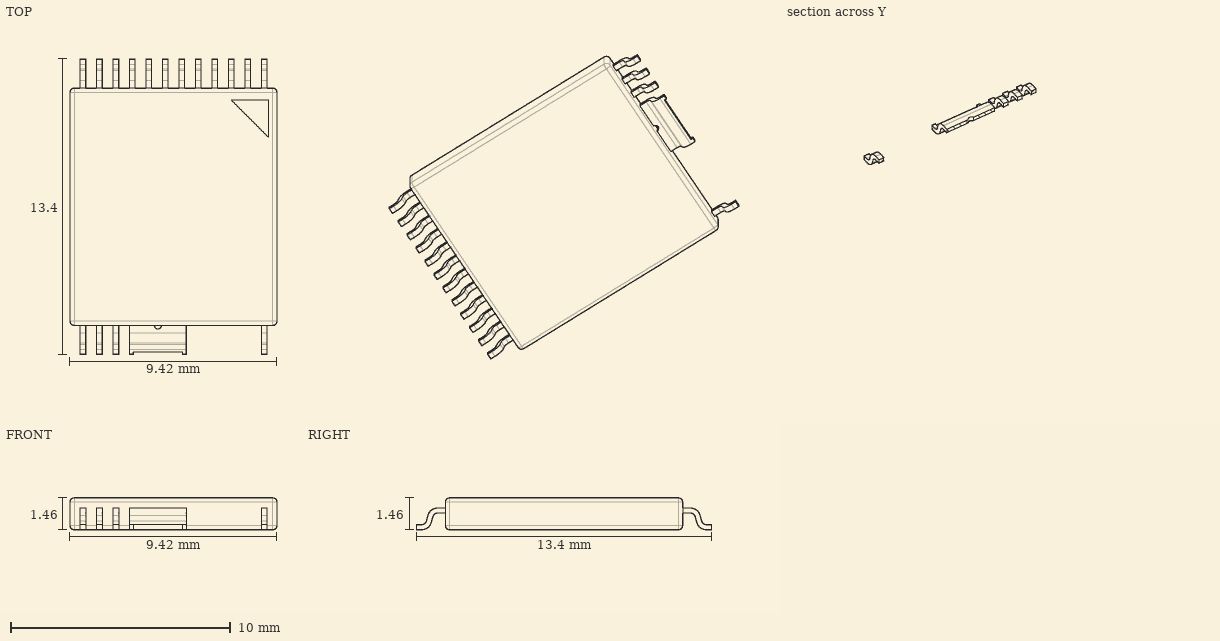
import cadquery as cq
import math

PACKAGE_WIDTH = 9.42
PACKAGE_LENGTH = 10.8
PACKAGE_HEIGHT = 1.46
EDGE_RADIUS = 0.2

MARK_LEG = 1.68
MARK_SIDE_MARGIN = 0.4
MARK_END_MARGIN = 0.55
MARK_DEPTH = 0.1

OVERALL_LENGTH = 13.42
LEAD_THICKNESS = 0.24
LEAD_TOP_Z = 1.0
BEND_RADIUS = 0.35
BEND_ANGLE = math.radians(75)
SHOULDER_LENGTH = 0.34

LEAD_WIDTH = 0.27
LEAD_PITCH = 0.75
LEAD_POSITIONS = 12
FRONT_LEAD_INDEXES = [0, 1, 2, 11]
TAB_START_INDEX = 3

TAB_WIDTH = 2.6
TAB_TOE_WIDTH = 0.19
TAB_TOE_LENGTH = 0.1
TAB_NOTCH_RADIUS = 0.15

LEAD_REACH = (OVERALL_LENGTH - PACKAGE_LENGTH) / 2
FACE_Y = PACKAGE_LENGTH / 2
FIRST_LEAD_X = -LEAD_PITCH * (LEAD_POSITIONS - 1) / 2


def lead_x(index):
    """X of the centre of a lead position."""
    return FIRST_LEAD_X + index * LEAD_PITCH


def front_lead_bar(x_start, width):
    """Gull-wing bar of the given width, running out from the -Y face of the package."""
    half = LEAD_THICKNESS / 2
    inner = BEND_RADIUS - half
    outer = BEND_RADIUS + half
    sin_bend = math.sin(BEND_ANGLE)
    cos_bend = math.cos(BEND_ANGLE)

    drop = LEAD_TOP_Z - LEAD_THICKNESS
    leg = (drop - 2 * BEND_RADIUS * (1 - cos_bend)) / sin_bend
    bends_reach = 2 * BEND_RADIUS * sin_bend + leg * cos_bend

    shoulder_y = -FACE_Y - SHOULDER_LENGTH
    shoulder_z = LEAD_TOP_Z - half - BEND_RADIUS
    foot_y = shoulder_y - bends_reach
    foot_z = half + BEND_RADIUS
    toe_y = -FACE_Y - LEAD_REACH

    def shoulder_point(radius, angle):
        return (shoulder_y - radius * math.sin(angle), shoulder_z + radius * math.cos(angle))

    def foot_point(radius, angle):
        return (foot_y + radius * math.sin(angle), foot_z - radius * math.cos(angle))

    mid_bend = BEND_ANGLE / 2
    profile = (
        cq.Workplane("YZ", origin=(x_start, 0, 0))
        .moveTo(-FACE_Y, LEAD_TOP_Z)
        .lineTo(*shoulder_point(outer, 0))
        .threePointArc(shoulder_point(outer, mid_bend), shoulder_point(outer, BEND_ANGLE))
        .lineTo(*foot_point(inner, BEND_ANGLE))
        .threePointArc(foot_point(inner, mid_bend), foot_point(inner, 0))
        .lineTo(toe_y, LEAD_THICKNESS)
        .lineTo(toe_y, 0)
        .lineTo(*foot_point(outer, 0))
        .threePointArc(foot_point(outer, mid_bend), foot_point(outer, BEND_ANGLE))
        .lineTo(*shoulder_point(inner, BEND_ANGLE))
        .threePointArc(shoulder_point(inner, mid_bend), shoulder_point(inner, 0))
        .lineTo(-FACE_Y, LEAD_TOP_Z - LEAD_THICKNESS)
        .close()
    )
    return profile.extrude(width)


def narrow_front_lead(index):
    return front_lead_bar(lead_x(index) - LEAD_WIDTH / 2, LEAD_WIDTH)


def pin_mark():
    """Right-triangle cutter in the +X, +Y corner of the top face."""
    corner_x = PACKAGE_WIDTH / 2 - MARK_SIDE_MARGIN
    corner_y = FACE_Y - MARK_END_MARGIN
    return (
        cq.Workplane("XY", origin=(corner_x, corner_y, PACKAGE_HEIGHT - MARK_DEPTH))
        .polyline([(0, 0), (-MARK_LEG, 0), (0, -MARK_LEG)])
        .close()
        .extrude(MARK_DEPTH)
    )


def make_package():
    """Rounded package with its narrow leads, as one solid."""
    package = (
        cq.Workplane("XY")
        .box(PACKAGE_WIDTH, PACKAGE_LENGTH, PACKAGE_HEIGHT, centered=(True, True, False))
        .edges()
        .fillet(EDGE_RADIUS)
        .cut(pin_mark())
    )
    for index in FRONT_LEAD_INDEXES:
        package = package.union(narrow_front_lead(index))
    for index in range(LEAD_POSITIONS):
        package = package.union(narrow_front_lead(index).mirror("XZ"))
    return package


def make_tab():
    """Wide lead with two toes at its tip and a round notch against the package."""
    tab_start = lead_x(TAB_START_INDEX) - LEAD_WIDTH / 2
    tab_center = tab_start + TAB_WIDTH / 2
    tip_relief = (
        cq.Workplane("XY", origin=(tab_center, -FACE_Y - LEAD_REACH, 0))
        .rect(TAB_WIDTH - 2 * TAB_TOE_WIDTH, 2 * TAB_TOE_LENGTH)
        .extrude(LEAD_TOP_Z)
    )
    notch = (
        cq.Workplane("XY", origin=(tab_center, -FACE_Y, 0))
        .circle(TAB_NOTCH_RADIUS)
        .extrude(LEAD_TOP_Z)
    )
    return front_lead_bar(tab_start, TAB_WIDTH).cut(tip_relief).cut(notch)


package = make_package()
tab = make_tab()

result = cq.Compound.makeCompound([*package.solids().vals(), *tab.solids().vals()])